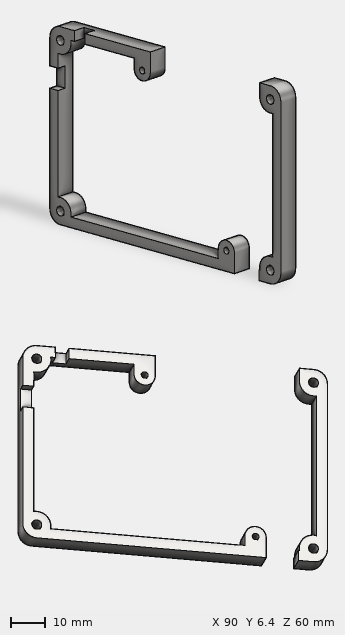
import cadquery as cq

LENGTH = 90.0
DEPTH = 6.4
HEIGHT = 60.0

WALL = 3.2

CORNER_RADIUS = 4.1
PAD_SIZE = 2 * CORNER_RADIUS
CORNER_HOLE_DIAMETER = 2.9

BOSS_WIDTH = 6.3
BOSS_RADIUS = BOSS_WIDTH / 2
BOSS_HOLE_INSET = 6.3
BOSS_HOLE_DIAMETER = 2.0
TOP_WALL_END = 39.15
BOTTOM_WALL_END = 71.9

TOP_NOTCH_START = 9.6
TOP_NOTCH_WIDTH = 4.05
TOP_NOTCH_DEPTH = 4.05
SIDE_NOTCH_DROP = 12.8
SIDE_NOTCH_HEIGHT = 6.75
SIDE_NOTCH_DEPTH = 3.0

END_STUB_LENGTH = 8.55

LEFT_X = CORNER_RADIUS
RIGHT_X = LENGTH - CORNER_RADIUS
BOTTOM_Z = CORNER_RADIUS
TOP_Z = HEIGHT - CORNER_RADIUS


def block(x, z, width, height, depth=DEPTH):
    """Box with its lower left corner at (x, z), running back from the front face."""
    return cq.Workplane("XY").box(width, depth, height, centered=False).translate((x, 0, z))


def cylinder(x, z, diameter):
    """Full-depth cylinder along Y, centred at (x, z)."""
    return cq.Workplane("XZ", origin=(x, 0, z)).circle(diameter / 2).extrude(-DEPTH)


def corner_pad(x, z):
    """Pad centred at (x, z), rounded at the outer frame corner and at the opposite inner corner."""
    inward_x = 1 if x < LENGTH / 2 else -1
    inward_z = 1 if z < HEIGHT / 2 else -1
    pad = cylinder(x, z, PAD_SIZE)
    for side in (1, -1):
        square_x = x + min(0, side * inward_x * CORNER_RADIUS)
        square_z = z + min(0, -side * inward_z * CORNER_RADIUS)
        pad = pad.union(block(square_x, square_z, CORNER_RADIUS, CORNER_RADIUS))
    return pad


def boss(wall_end, hole_z, base_z):
    """Round-ended boss reaching from the outer face at base_z to the hole at hole_z."""
    center_x = wall_end - BOSS_RADIUS
    stem = block(wall_end - BOSS_WIDTH, min(hole_z, base_z), BOSS_WIDTH, abs(hole_z - base_z))
    return stem.union(cylinder(center_x, hole_z, BOSS_WIDTH))


def make_frame():
    """Three-sided frame with two corner pads, two end bosses and two notches."""
    top_hole_z = HEIGHT - BOSS_HOLE_INSET
    frame = block(0, BOTTOM_Z, WALL, TOP_Z - BOTTOM_Z)
    frame = frame.union(block(LEFT_X, 0, BOTTOM_WALL_END - LEFT_X, WALL))
    frame = frame.union(block(LEFT_X, HEIGHT - WALL, TOP_WALL_END - LEFT_X, WALL))
    for z in (BOTTOM_Z, TOP_Z):
        frame = frame.union(corner_pad(LEFT_X, z))
    frame = frame.union(boss(TOP_WALL_END, top_hole_z, HEIGHT))
    frame = frame.union(boss(BOTTOM_WALL_END, BOSS_HOLE_INSET, 0))

    for z in (BOTTOM_Z, TOP_Z):
        frame = frame.cut(cylinder(LEFT_X, z, CORNER_HOLE_DIAMETER))
    frame = frame.cut(cylinder(TOP_WALL_END - BOSS_RADIUS, top_hole_z, BOSS_HOLE_DIAMETER))
    frame = frame.cut(cylinder(BOTTOM_WALL_END - BOSS_RADIUS, BOSS_HOLE_INSET, BOSS_HOLE_DIAMETER))

    top_notch = block(TOP_NOTCH_START, HEIGHT - WALL, TOP_NOTCH_WIDTH, WALL, TOP_NOTCH_DEPTH)
    side_notch_z = HEIGHT - SIDE_NOTCH_DROP - SIDE_NOTCH_HEIGHT
    side_notch = block(0, side_notch_z, WALL, SIDE_NOTCH_HEIGHT, SIDE_NOTCH_DEPTH)
    return frame.cut(top_notch).cut(side_notch)


def make_end_piece():
    """Upright at the right end with a corner pad at each end."""
    end_piece = block(LENGTH - WALL, BOTTOM_Z, WALL, TOP_Z - BOTTOM_Z)
    end_piece = end_piece.union(block(LENGTH - END_STUB_LENGTH, 0, END_STUB_LENGTH - CORNER_RADIUS, WALL))
    for z in (BOTTOM_Z, TOP_Z):
        end_piece = end_piece.union(corner_pad(RIGHT_X, z))
    for z in (BOTTOM_Z, TOP_Z):
        end_piece = end_piece.cut(cylinder(RIGHT_X, z, CORNER_HOLE_DIAMETER))
    return end_piece


frame = make_frame()
end_piece = make_end_piece()
result = cq.Compound.makeCompound([frame.val(), end_piece.val()])